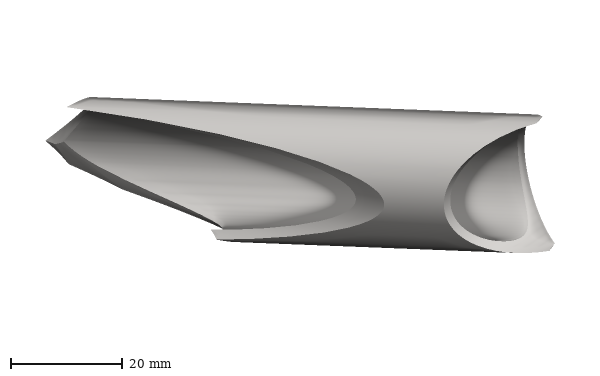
import cadquery as cq

outer_radius = 12.5
wall = 2.0
inner_radius = outer_radius - wall
cutter_reach = 149.1

lower_joint = cq.Vector(0, 0, 0)
upper_joint = cq.Vector(101.2, 28.1, 11.4)
upper_end_setback = 1.6

lower_neighbours = {
    "upright post": cq.Vector(0.12, 0.43, 0.89),
    "side tube": cq.Vector(0.99, -0.05, 0.13),
    "low side tube": cq.Vector(0.91, 0.09, -0.38),
    "low middle tube": cq.Vector(0.83, 0.13, -0.54),
    "hanging post": cq.Vector(0.22, 0.32, -0.92),
}
crossbar_direction = cq.Vector(0.02, 1, -0.02)


def rod(start, direction, length, radius):
    """Solid cylinder from a start point along a direction."""
    return cq.Workplane(cq.Solid.makeCylinder(radius, length, start, direction))


def blank_tube():
    """Plain tube from the lower joint to just short of the upper joint."""
    axis = upper_joint - lower_joint
    length = axis.Length - upper_end_setback
    outside = rod(lower_joint, axis, length, outer_radius)
    bore = rod(lower_joint, axis, length, inner_radius)
    return outside.cut(bore)


def cope_upper_end(tube):
    """Cut the end that saddles a crossbar running through the upper joint both ways."""
    start = upper_joint - crossbar_direction.normalized() * cutter_reach
    return tube.cut(rod(start, crossbar_direction, 2 * cutter_reach, outer_radius))


def cope_lower_end(tube):
    """Cut away the room taken by each tube that runs out from the lower joint."""
    for direction in lower_neighbours.values():
        tube = tube.cut(rod(lower_joint, direction, cutter_reach, outer_radius))
    return tube


def largest_solid(body):
    """The tube itself, without scraps left past the copes."""
    return max(body.solids().vals(), key=lambda solid: solid.Volume())


coped_tube = cope_lower_end(cope_upper_end(blank_tube()))
result = cq.Workplane(largest_solid(coped_tube))